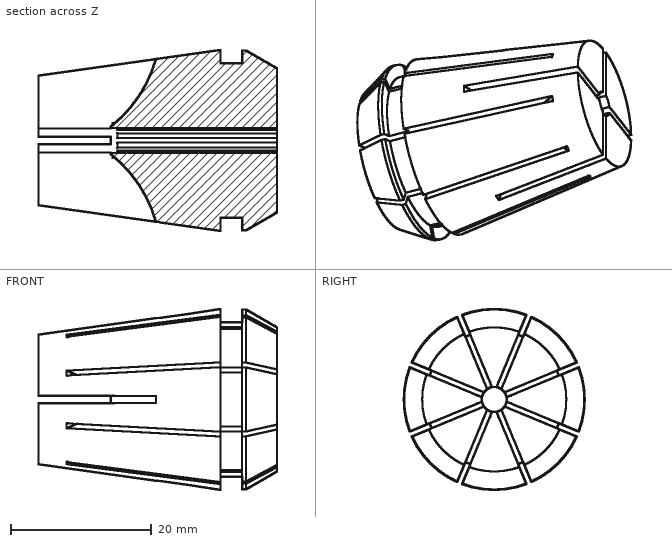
import cadquery as cq
import math

length = 34.0
groove_start = 25.95
flange_start = 29.0
nose_start = 29.58
taper_large_diameter = 25.8
taper_half_angle = 8.0
taper_large_radius = taper_large_diameter / 2
groove_radius = 11.0
flange_radius = 12.82
nose_half_angle = 30.0
bore_radius = 1.77

taper_small_radius = taper_large_radius - groove_start * math.tan(math.radians(taper_half_angle))
nose_end_radius = flange_radius - (length - nose_start) * math.tan(math.radians(nose_half_angle))

cross_slot_width = 1.02
cross_slot_centre_depth = 10.3
cross_slot_flat_radius = 1.97
cross_slot_surface_depth = 16.73
cross_slot_floor_radius = 18.7
cross_slot_count = 4

nose_slot_width = 0.75
nose_slot_start = 4.0
nose_slot_ramp_angle = 42.0
nose_slot_count = 8
nose_slot_first_angle = 180.0 / nose_slot_count

clearance = 1.7
outer_reach = taper_large_radius + clearance


def taper_radius(x):
    """Radius of the long taper at a distance x from the small end."""
    return taper_small_radius + x * math.tan(math.radians(taper_half_angle))


def turned_body():
    """Long taper, groove, flange and nose cone in one revolve, with the bore through it."""
    profile = (
        cq.Workplane("XY")
        .moveTo(0, bore_radius)
        .lineTo(0, taper_small_radius)
        .lineTo(groove_start, taper_large_radius)
        .lineTo(groove_start, groove_radius)
        .lineTo(flange_start, groove_radius)
        .lineTo(flange_start, flange_radius)
        .lineTo(nose_start, flange_radius)
        .lineTo(length, nose_end_radius)
        .lineTo(length, bore_radius)
        .close()
    )
    return profile.revolve(360, (0, 0, 0), (1, 0, 0))


def arc_middle(start, end, radius):
    """Middle point of the arc from start to end that bulges toward +X and the axis."""
    chord_x = end[0] - start[0]
    chord_y = end[1] - start[1]
    chord = math.hypot(chord_x, chord_y)
    bulge = radius - math.sqrt(radius**2 - (chord / 2) ** 2)
    middle_x = (start[0] + end[0]) / 2 + bulge * chord_y / chord
    middle_y = (start[1] + end[1]) / 2 - bulge * chord_x / chord
    return middle_x, middle_y


def cross_slot():
    """Cutter for one arm of the cross, lying along +Y."""
    floor_start = (cross_slot_centre_depth, cross_slot_flat_radius)
    floor_end = (cross_slot_surface_depth, taper_radius(cross_slot_surface_depth))
    profile = (
        cq.Workplane("XY")
        .moveTo(-clearance, 0)
        .lineTo(cross_slot_centre_depth, 0)
        .lineTo(*floor_start)
        .threePointArc(arc_middle(floor_start, floor_end, cross_slot_floor_radius), floor_end)
        .lineTo(cross_slot_surface_depth, outer_reach)
        .lineTo(-clearance, outer_reach)
        .close()
    )
    return profile.extrude(cross_slot_width / 2, both=True)


def nose_slot():
    """Cutter for one nose slot, lying along +Y and reaching into the bore."""
    ramp_height = taper_radius(nose_slot_start)
    ramp_length = ramp_height * math.tan(math.radians(nose_slot_ramp_angle))
    profile = (
        cq.Workplane("XY")
        .moveTo(nose_slot_start, outer_reach)
        .lineTo(nose_slot_start, ramp_height)
        .lineTo(nose_slot_start + ramp_length, 0)
        .lineTo(length + clearance, 0)
        .lineTo(length + clearance, outer_reach)
        .close()
    )
    return profile.extrude(nose_slot_width / 2, both=True)


def cut_around(body, cutter, count, first_angle):
    """Cut the same slot at equal angles about the X axis."""
    for index in range(count):
        angle = first_angle + index * 360.0 / count
        body = body.cut(cutter.rotate((0, 0, 0), (1, 0, 0), angle))
    return body


collet = turned_body()
collet = cut_around(collet, cross_slot(), cross_slot_count, 0.0)
collet = cut_around(collet, nose_slot(), nose_slot_count, nose_slot_first_angle)

result = collet